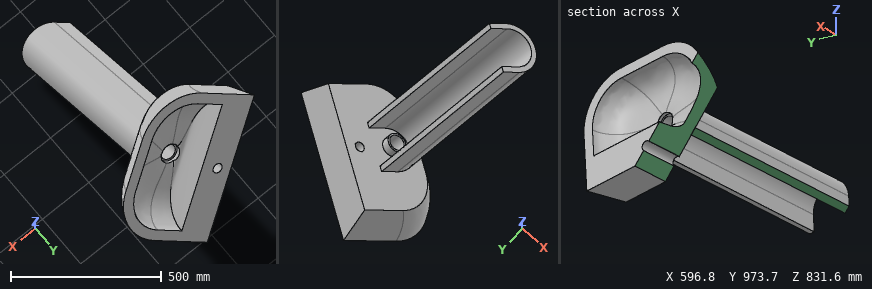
import cadquery as cq
import math


basin_width = 549.5
basin_depth = 400.0
basin_height = 150.0
corner_radius = 180.0
side_inset = 40.0
front_inset = 100.0
front_bulge = 12.0

rim_width = 40.0
bowl_back = 120.0
bowl_depth = 105.0
bowl_levels = [(0, 0), (0.34, 0.04), (0.64, 0.15), (0.91, 0.5), (1, 1)]

drain_from_wall = 187.0
seat_radius = 35.0
seat_depth = 9.0
drain_radius = 28.0
drain_foot = 23.0
drain_foot_radius = 21.0
tailpiece_length = 34.0
tap_from_wall = 55.0
tap_radius = 17.5

pedestal_width = 182.0
pedestal_height = 747.0
pedestal_straight = 67.0
pedestal_nose = 96.0
pedestal_wall = 20.0
pedestal_back = 117.0

x_direction = (math.sqrt(1 / 2), math.sqrt(1 / 6), -math.sqrt(1 / 3))
up_direction = (0, math.sqrt(2 / 3), math.sqrt(1 / 3))
placement = cq.Location(cq.Plane((0, 0, 0), x_direction, up_direction))


def d_wire(half_width, back, front, radius, z):
    """Straight back and sides with two rounded front corners, at height z."""
    diagonal = radius * (1 - math.sqrt(1 / 2))
    return (
        cq.Workplane("XY", origin=(0, 0, z))
        .moveTo(-half_width, -back)
        .lineTo(-half_width, radius - front)
        .threePointArc((diagonal - half_width, diagonal - front), (radius - half_width, -front))
        .lineTo(half_width - radius, -front)
        .threePointArc((half_width - diagonal, diagonal - front), (half_width, radius - front))
        .lineTo(half_width, -back)
        .close()
        .val()
    )


def between(start, end, fraction):
    return start + (end - start) * fraction


def make_shell():
    """Outside of the basin, narrowing from the rim to the underside."""
    sections = []
    for fraction, bulge in [(0, 0), (0.5, front_bulge), (1, 0)]:
        inset = fraction * side_inset
        sections.append(
            d_wire(
                basin_width / 2 - inset,
                0,
                basin_depth - fraction * front_inset + bulge,
                corner_radius - inset,
                -fraction * basin_height,
            )
        )
    return cq.Workplane(cq.Solid.makeLoft(sections))


def make_bowl():
    """Hollow of the bowl, steep at the rim and flattening toward the drain."""
    sections = []
    for depth_fraction, drain_fraction in bowl_levels:
        sections.append(
            d_wire(
                between(basin_width / 2 - rim_width, drain_foot, drain_fraction),
                between(bowl_back, drain_from_wall - drain_foot, drain_fraction),
                between(basin_depth - rim_width, drain_from_wall + drain_foot, drain_fraction),
                between(corner_radius - rim_width, drain_foot_radius, drain_fraction),
                -depth_fraction * bowl_depth,
            )
        )
    return cq.Workplane(cq.Solid.makeLoft(sections))


def upright_cylinder(radius, from_wall, bottom, top):
    return (
        cq.Workplane("XY", origin=(0, -from_wall, bottom))
        .circle(radius)
        .extrude(top - bottom)
    )


def make_basin():
    tailpiece_end = -basin_height - tailpiece_length
    seat_floor = -bowl_depth - seat_depth
    tailpiece = upright_cylinder(seat_radius, drain_from_wall, tailpiece_end, seat_floor)
    seat = upright_cylinder(seat_radius, drain_from_wall, seat_floor, -bowl_depth + seat_depth)
    drain = upright_cylinder(drain_radius, drain_from_wall, tailpiece_end, -bowl_depth)
    tap_hole = upright_cylinder(tap_radius, tap_from_wall, -basin_height, 0)
    return make_shell().union(tailpiece).cut(make_bowl()).cut(seat).cut(drain).cut(tap_hole)


def u_column(inset):
    """Column with flat sides and a half-elliptical front, its sides moved in by inset."""
    half_width = pedestal_width / 2 - inset
    return (
        cq.Workplane("XY", origin=(0, -pedestal_back, -basin_height))
        .lineTo(-half_width, 0)
        .lineTo(-half_width, -pedestal_straight)
        .ellipseArc(half_width, pedestal_nose - inset, 180, 360)
        .lineTo(half_width, 0)
        .close()
        .extrude(-pedestal_height)
    )


def make_pedestal():
    return u_column(0).cut(u_column(pedestal_wall))


basin = make_basin().val().moved(placement)
pedestal = make_pedestal().val().moved(placement)
result = cq.Compound.makeCompound([basin, pedestal])